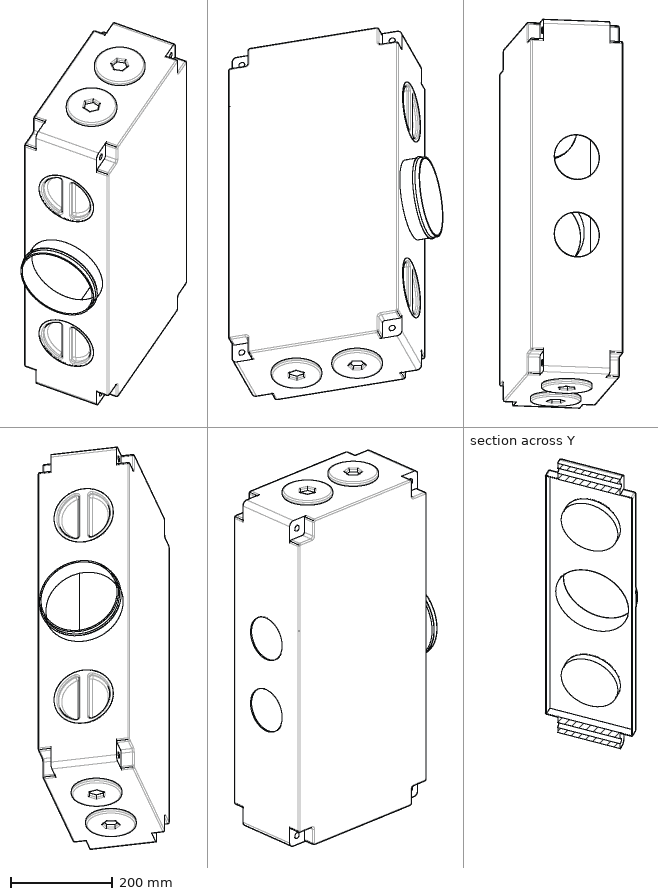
import cadquery as cq
import math

BOX_X = 185.0
BOX_Y = 350.0
BOX_Z = 710.0
WALL = 3.0
CORNER_RADIUS = 10.0
FACE_EDGE_RADIUS = 3.0

NOTCH = 40.0
NOTCH_DEPTH_X = 26.0
NOTCH_RADIUS = 5.0
TAB_X = BOX_X - 2 * NOTCH_DEPTH_X
TAB_HOLE_DIAMETER = 12.0
TAB_HOLE_INSET = NOTCH / 2

SPIGOT_RADIUS = 80.0
SPIGOT_BORE_RADIUS = 77.0
SPIGOT_LENGTH = 40.0
BEAD_RADIUS = 2.5
BEAD_FROM_FACE = 28.8

OUTLET_RADIUS = 45.0
OUTLET_Z = 78.0

GRIP_Z = 205.0
GRIP_RADIUS = 52.0
GRIP_BAR_WIDTH = 20.0
GRIP_DEPTH = 12.0
GRIP_CORNER_RADIUS = 5.5
GRIP_FLOOR_RADIUS = 5.0
GRIP_LIP_RADIUS = 2.5
GRIP_CUP_RADIUS = 60.0
GRIP_FACE_STEP = 0.5
GRIP_CUP_FLOOR = 5.0

PLUG_RADIUS = 50.0
PLUG_HEIGHT = 10.0
PLUG_EDGE_RADIUS = 3.0
PLUG_Y = 62.5
SOCKET_ACROSS_CORNERS = 32.0
SOCKET_LIP_RADIUS = 2.5
SOCKET_DEPTH = 8.0
SOCKET_TURN = 15.0

FRONT_Y = -BOX_Y / 2
BACK_Y = BOX_Y / 2


def cross_prism(length_x, inset):
    """Plus-shaped prism along X: the box outline less its four notched corners, shrunk by inset."""
    half_y = BOX_Y / 2 - inset
    half_z = BOX_Z / 2 - inset
    waist_y = BOX_Y / 2 - NOTCH - inset
    waist_z = BOX_Z / 2 - NOTCH - inset
    upright = cq.Workplane("XY").box(length_x, 2 * waist_y, 2 * half_z)
    crosspiece = cq.Workplane("XY").box(length_x, 2 * half_y, 2 * waist_z)
    return upright.union(crosspiece)


def cylinder_y(radius, start_y, end_y, z):
    """Cylinder along Y from start_y to end_y, centred on X = 0 at height z."""
    base = cq.Workplane("XZ", origin=(0, start_y, z))
    return base.circle(radius).extrude(start_y - end_y)


def make_body():
    """Solid outer block with notched corners, mounting tabs and rounded edges."""
    block = cross_prism(BOX_X, 0).edges("|X").fillet(NOTCH_RADIUS)
    block = block.faces("<X or >X").edges().fillet(FACE_EDGE_RADIUS)
    tabs = cq.Workplane("XY").box(TAB_X, BOX_Y, BOX_Z).edges("|X").fillet(CORNER_RADIUS)
    hole_spacing_y = BOX_Y - 2 * TAB_HOLE_INSET
    hole_spacing_z = BOX_Z - 2 * TAB_HOLE_INSET
    tabs = (
        tabs.faces(">X").workplane()
        .rect(hole_spacing_y, hole_spacing_z, forConstruction=True)
        .vertices().hole(TAB_HOLE_DIAMETER)
    )
    return block.union(tabs)


def make_spigot():
    """Solid spigot with a half-round retaining bead, revolved about the Y axis."""
    end_y = FRONT_Y - SPIGOT_LENGTH
    bead_y = FRONT_Y - BEAD_FROM_FACE
    return (
        cq.Workplane("XY")
        .moveTo(0, FRONT_Y)
        .lineTo(SPIGOT_RADIUS, FRONT_Y)
        .lineTo(SPIGOT_RADIUS, bead_y + BEAD_RADIUS)
        .threePointArc((SPIGOT_RADIUS + BEAD_RADIUS, bead_y), (SPIGOT_RADIUS, bead_y - BEAD_RADIUS))
        .lineTo(SPIGOT_RADIUS, end_y)
        .lineTo(0, end_y)
        .close()
        .revolve(360, (0, 0, 0), (0, 1, 0))
    )


def make_grip_half(side):
    """Recess on one side (+1 or -1) of the grip bar, centred on Z = 0, with a rounded floor."""
    bar_x = side * GRIP_BAR_WIDTH / 2
    chord_z = math.sqrt(GRIP_RADIUS**2 - bar_x**2)
    return (
        cq.Workplane("XZ", origin=(0, FRONT_Y, 0))
        .moveTo(bar_x, -chord_z)
        .threePointArc((side * GRIP_RADIUS, 0), (bar_x, chord_z))
        .close()
        .extrude(-GRIP_DEPTH)
        .edges("|Y").fillet(GRIP_CORNER_RADIUS)
        .faces(">Y").edges().fillet(GRIP_FLOOR_RADIUS)
    )


def cut_grips(housing):
    """Cut the shallow disc and both halves of each grip, then round the lips."""
    for grip_z in (-GRIP_Z, GRIP_Z):
        housing = housing.cut(cylinder_y(GRIP_CUP_RADIUS, FRONT_Y, FRONT_Y + GRIP_FACE_STEP, grip_z))
        for side in (-1, 1):
            housing = housing.cut(make_grip_half(side).translate((0, 0, grip_z)))
    lip_y = FRONT_Y + GRIP_FACE_STEP
    reach = (GRIP_CUP_RADIUS + GRIP_RADIUS) / 2
    for grip_z in (-GRIP_Z, GRIP_Z):
        lips = cq.selectors.BoxSelector(
            (-reach, lip_y - GRIP_FACE_STEP / 2, grip_z - reach),
            (reach, lip_y + GRIP_FACE_STEP / 2, grip_z + reach),
            boundingbox=True,
        )
        housing = housing.edges(lips).fillet(GRIP_LIP_RADIUS)
    return housing


def make_housing():
    """Hollow housing with spigot, outlets and recessed grips."""
    cavity = cross_prism(BOX_X - 2 * WALL, WALL)
    cup_end = FRONT_Y + GRIP_DEPTH + GRIP_CUP_FLOOR
    for grip_z in (-GRIP_Z, GRIP_Z):
        cavity = cavity.cut(cylinder_y(GRIP_CUP_RADIUS, FRONT_Y, cup_end, grip_z))
    housing = cut_grips(make_body()).union(make_spigot())
    housing = housing.cut(cavity)
    housing = housing.cut(cylinder_y(SPIGOT_BORE_RADIUS, FRONT_Y - SPIGOT_LENGTH, FRONT_Y + WALL, 0))
    for outlet_z in (-OUTLET_Z, OUTLET_Z):
        housing = housing.cut(cylinder_y(OUTLET_RADIUS, BACK_Y - WALL, BACK_Y, outlet_z))
    return housing


def make_plug(y, end, turn):
    """Screw plug on the top (end = 1) or bottom (end = -1), its hex socket turned by turn degrees."""
    disc = cq.Workplane("XY").circle(PLUG_RADIUS).extrude(PLUG_HEIGHT)
    disc = disc.edges("%CIRCLE").fillet(PLUG_EDGE_RADIUS)
    socket = (
        cq.Workplane("XY", origin=(0, 0, PLUG_HEIGHT - SOCKET_DEPTH))
        .polygon(6, SOCKET_ACROSS_CORNERS)
        .extrude(SOCKET_DEPTH)
        .rotate((0, 0, 0), (0, 0, 1), turn)
    )
    plug = disc.cut(socket)
    plug = plug.faces(">Z").edges("%LINE").fillet(SOCKET_LIP_RADIUS)
    plug = plug.translate((0, y, BOX_Z / 2))
    return plug if end > 0 else plug.mirror("XY")


housing = make_housing()
plugs = []
for plug_end in (-1, 1):
    for plug_side in (-1, 1):
        plugs.append(make_plug(plug_side * PLUG_Y, plug_end, plug_side * SOCKET_TURN))

result = cq.Compound.makeCompound([housing.val(), *[plug.val() for plug in plugs]])